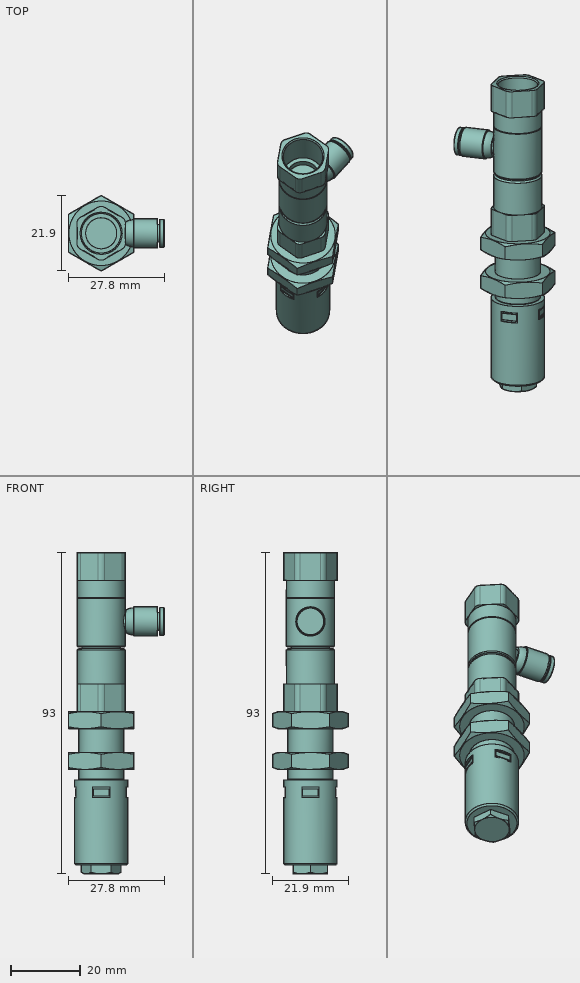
import cadquery as cq
import math

TOTAL_HEIGHT = 93.0
TOP_HEX_BOTTOM = 85.0
JOINT_LINE_Z = 80.0
UPPER_BODY_BOTTOM = 65.7
LOWER_BODY_TOP = 65.25
LOWER_HEX_TOP = 55.0
UPPER_NUT_TOP = 47.0
LOWER_NUT_TOP = 35.2
SLEEVE_TOP = 27.2
SLEEVE_BOTTOM = 2.5

CORNERS_ON_X = 0
FLATS_ON_X = 30

COLUMN_HEX_FLATS = 14.0
COLUMN_HEX_CORNER_RADIUS = 1.9
BODY_DIAMETER = 14.0
NECK_DIAMETER = 11.16
THREAD_DIAMETER = 13.16
SLEEVE_DIAMETER = 15.5
UPPER_BODY_CHAMFER = 0.3
LOWER_BODY_CHAMFER = 0.5
THREAD_CHAMFER = 0.3
SLEEVE_CHAMFER = 0.5
JOINT_GROOVE_WIDTH = 0.2
JOINT_GROOVE_DEPTH = 0.1

NUT_FLATS = 19.0
NUT_HEIGHT = 5.0
NUT_BEVEL_HEIGHT = 0.6
NUT_FACE_DIAMETER = 18.7
BASE_HEX_FLATS = 10.0
BASE_BEVEL_HEIGHT = 0.5
BASE_FACE_DIAMETER = 10.0

SOCKET_DIAMETER = 11.45
SOCKET_DEPTH = 11.0
SOCKET_MOUTH_DIAMETER = 12.2
INNER_HOLE_DIAMETER = 9.0
INNER_HOLE_DEPTH = 2.0

POCKET_COUNT = 4
POCKET_WIDTH = 5.0
POCKET_HEIGHT = 3.0
POCKET_DEPTH = 0.5
POCKET_CENTER_Z = 23.6
PAD_WIDTH = 4.5
PAD_HEIGHT = 2.0
PAD_RECESS = 0.35

FITTING_Z = 73.1
FITTING_DIAMETER = 8.5
FITTING_STEM_DIAMETER = 5.2
FITTING_CAP_DIAMETER = 7.9
FITTING_CAP_START = 7.1
FITTING_BARREL_START = 9.3
FITTING_BARREL_CHAMFER = 0.2
FITTING_BARREL_END = 16.3
FITTING_NECK_DIAMETER = 5.2
COLLAR_DIAMETER = 8.1
COLLAR_START = 16.85
COLLAR_END = 18.31
COLLAR_CHAMFER = 0.2


def cylinder(diameter, bottom, top):
    return cq.Workplane("XY").workplane(offset=bottom).circle(diameter / 2).extrude(top - bottom)


def hexagon(across_flats, bottom, top, turn):
    corner_diameter = across_flats / math.cos(math.pi / 6)
    prism = cq.Workplane("XY").polygon(6, corner_diameter).extrude(top - bottom)
    return prism.rotate((0, 0, 0), (0, 0, 1), turn).translate((0, 0, bottom))


def column_hex(bottom, top):
    """Hexagon with flats facing X and rounded vertical corners."""
    return hexagon(COLUMN_HEX_FLATS, bottom, top, FLATS_ON_X).edges("|Z").fillet(COLUMN_HEX_CORNER_RADIUS)


def bevel_envelope(across_flats, face_diameter, bevel_height, bottom, top, bevel_top):
    """Turned blank that cuts the corners of a hexagon off conically at its end faces."""
    corner_radius = across_flats / 2 / math.cos(math.pi / 6)
    face_radius = face_diameter / 2
    profile = cq.Workplane("XZ").moveTo(0, bottom).lineTo(face_radius, bottom)
    profile = profile.lineTo(corner_radius, bottom + bevel_height)
    if bevel_top:
        profile = profile.lineTo(corner_radius, top - bevel_height).lineTo(face_radius, top)
    else:
        profile = profile.lineTo(corner_radius, top)
    return profile.lineTo(0, top).close().revolve(360, (0, 0, 0), (0, 1, 0))


def lock_nut(top):
    bottom = top - NUT_HEIGHT
    envelope = bevel_envelope(NUT_FLATS, NUT_FACE_DIAMETER, NUT_BEVEL_HEIGHT, bottom, top, True)
    return hexagon(NUT_FLATS, bottom, top, FLATS_ON_X).intersect(envelope)


def base_hex():
    envelope = bevel_envelope(
        BASE_HEX_FLATS, BASE_FACE_DIAMETER, BASE_BEVEL_HEIGHT, 0, SLEEVE_BOTTOM, False
    )
    return hexagon(BASE_HEX_FLATS, 0, SLEEVE_BOTTOM, CORNERS_ON_X).intersect(envelope)


def upper_body():
    body = cylinder(BODY_DIAMETER, UPPER_BODY_BOTTOM, TOP_HEX_BOTTOM)
    body = body.faces("<Z").chamfer(UPPER_BODY_CHAMFER)
    groove_bottom = JOINT_LINE_Z - JOINT_GROOVE_WIDTH
    groove = cylinder(BODY_DIAMETER, groove_bottom, JOINT_LINE_Z)
    groove = groove.cut(cylinder(BODY_DIAMETER - 2 * JOINT_GROOVE_DEPTH, groove_bottom, JOINT_LINE_Z))
    return body.cut(groove)


def side_block(inner, width, height):
    """Block on the -Y side of the sleeve, from the given distance to beyond the sleeve wall."""
    depth = SLEEVE_DIAMETER / 2
    block = cq.Workplane("XY").box(width, depth, height)
    return block.translate((0, -inner - depth / 2, POCKET_CENTER_Z))


def sleeve():
    shell = cylinder(SLEEVE_DIAMETER, SLEEVE_BOTTOM, SLEEVE_TOP).faces("<Z").chamfer(SLEEVE_CHAMFER)
    radius = SLEEVE_DIAMETER / 2
    floor = radius - POCKET_DEPTH
    pad_face = radius - PAD_RECESS
    pad = side_block(floor, PAD_WIDTH, PAD_HEIGHT).cut(side_block(pad_face, PAD_WIDTH, PAD_HEIGHT))
    pocket = side_block(floor, POCKET_WIDTH, POCKET_HEIGHT).cut(pad)
    for index in range(POCKET_COUNT):
        shell = shell.cut(pocket.rotate((0, 0, 0), (0, 0, 1), index * 360 / POCKET_COUNT))
    return shell


def fitting():
    """Stem, domed cap, barrel, neck and collar turned about the X direction."""
    stem_radius = FITTING_STEM_DIAMETER / 2
    cap_radius = FITTING_CAP_DIAMETER / 2
    barrel_radius = FITTING_DIAMETER / 2
    neck_radius = FITTING_NECK_DIAMETER / 2
    collar_radius = COLLAR_DIAMETER / 2

    cap_length = FITTING_BARREL_START - FITTING_CAP_START
    cap_angle = math.asin(cap_length / cap_radius)
    cap_start_radius = cap_radius * math.cos(cap_angle)
    cap_middle = (
        FITTING_BARREL_START - cap_radius * math.sin(cap_angle / 2),
        cap_radius * math.cos(cap_angle / 2),
    )
    profile = (
        cq.Workplane("XZ")
        .lineTo(0, stem_radius)
        .lineTo(FITTING_CAP_START, stem_radius)
        .lineTo(FITTING_CAP_START, cap_start_radius)
        .threePointArc(cap_middle, (FITTING_BARREL_START, cap_radius))
        .lineTo(FITTING_BARREL_START, barrel_radius - FITTING_BARREL_CHAMFER)
        .lineTo(FITTING_BARREL_START + FITTING_BARREL_CHAMFER, barrel_radius)
        .lineTo(FITTING_BARREL_END, barrel_radius)
        .lineTo(FITTING_BARREL_END, neck_radius)
        .lineTo(COLLAR_START, neck_radius)
        .lineTo(COLLAR_START, collar_radius - COLLAR_CHAMFER)
        .lineTo(COLLAR_START + COLLAR_CHAMFER, collar_radius)
        .lineTo(COLLAR_END - COLLAR_CHAMFER, collar_radius)
        .lineTo(COLLAR_END, collar_radius - COLLAR_CHAMFER)
        .lineTo(COLLAR_END, 0)
        .close()
    )
    return profile.revolve(360, (0, 0, 0), (1, 0, 0)).translate((0, 0, FITTING_Z))


def socket():
    """Chamfered bore from the top face with a narrower hole in its floor."""
    floor = TOTAL_HEIGHT - SOCKET_DEPTH
    bore_radius = SOCKET_DIAMETER / 2
    mouth_radius = SOCKET_MOUTH_DIAMETER / 2
    hole_radius = INNER_HOLE_DIAMETER / 2
    profile = (
        cq.Workplane("XZ")
        .moveTo(0, TOTAL_HEIGHT)
        .lineTo(mouth_radius, TOTAL_HEIGHT)
        .lineTo(bore_radius, TOTAL_HEIGHT - (mouth_radius - bore_radius))
        .lineTo(bore_radius, floor)
        .lineTo(hole_radius, floor)
        .lineTo(hole_radius, floor - INNER_HOLE_DEPTH)
        .lineTo(0, floor - INNER_HOLE_DEPTH)
        .close()
    )
    return profile.revolve(360, (0, 0, 0), (0, 1, 0))


lower_body = cylinder(BODY_DIAMETER, LOWER_HEX_TOP, LOWER_BODY_TOP).faces(">Z").chamfer(LOWER_BODY_CHAMFER)
neck = cylinder(NECK_DIAMETER, LOWER_BODY_TOP, UPPER_BODY_BOTTOM)
thread = cylinder(THREAD_DIAMETER, SLEEVE_TOP, UPPER_NUT_TOP).faces("<Z").chamfer(THREAD_CHAMFER)

result = (
    base_hex()
    .union(sleeve())
    .union(thread)
    .union(lock_nut(LOWER_NUT_TOP))
    .union(lock_nut(UPPER_NUT_TOP))
    .union(column_hex(UPPER_NUT_TOP, LOWER_HEX_TOP))
    .union(lower_body)
    .union(neck)
    .union(upper_body())
    .union(column_hex(TOP_HEX_BOTTOM, TOTAL_HEIGHT))
    .union(fitting())
    .cut(socket())
)